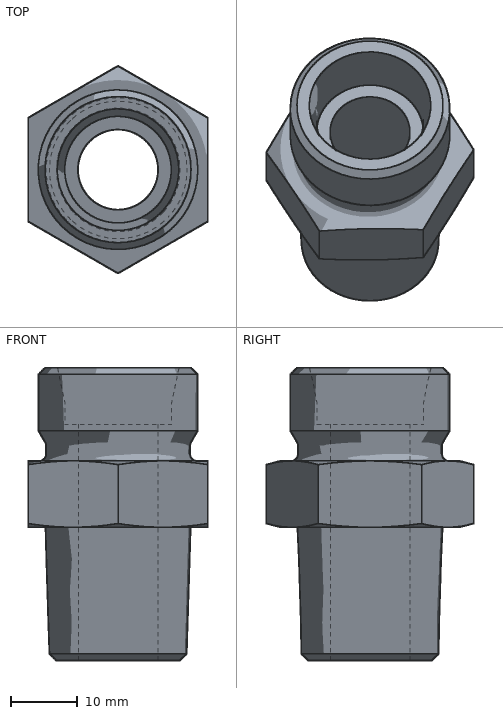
import cadquery as cq
import math

total_height = 44.0
hex_bottom = 20.0
hex_top = 30.0
gauge_height = 8.15

across_flats = 27.0
hex_chamfer_diameter = 26.95
hex_chamfer_angle = 15

gauge_diameter = 21.1
taper_ratio = 1 / 16

edge_chamfer = 1.0

collar_diameter = 24.0
collar_bottom = 34.55
neck_diameter = 21.7
neck_fillet = 1.0
relief_angle = 30

through_diameter = 12.0
counterbore_diameter = 16.0
counterbore_depth = 8.5
mouth_diameter = 18.25
mouth_half_angle = 12


def tangent(degrees):
    return math.tan(math.radians(degrees))


def stud_radius(height):
    """Radius of the tapered stud at a given height."""
    return (gauge_diameter + taper_ratio * (height - gauge_height)) / 2


def revolve_profile(profile):
    """Turn a closed radius-height profile around the Z axis."""
    return profile.close().revolve(360, (0, 0, 0), (0, 1, 0))


def make_stud():
    """Tapered stud with a chamfered lower end."""
    return revolve_profile(
        cq.Workplane("XZ")
        .lineTo(stud_radius(0) - edge_chamfer, 0)
        .lineTo(stud_radius(edge_chamfer), edge_chamfer)
        .lineTo(stud_radius(hex_bottom), hex_bottom)
        .lineTo(0, hex_bottom)
    )


def make_hexagon():
    """Hexagon with corners on Y and conical chamfers on both ends."""
    hex_height = hex_top - hex_bottom
    corner_radius = across_flats / math.sqrt(3)
    chamfer_radius = hex_chamfer_diameter / 2
    chamfer_drop = (corner_radius - chamfer_radius) * tangent(hex_chamfer_angle)
    prism = (
        cq.Workplane("XY", origin=(0, 0, hex_bottom))
        .polygon(6, 2 * corner_radius)
        .extrude(hex_height)
        .rotate((0, 0, 0), (0, 0, 1), 90)
    )
    envelope = revolve_profile(
        cq.Workplane("XZ")
        .moveTo(0, hex_bottom)
        .lineTo(chamfer_radius, hex_bottom)
        .lineTo(corner_radius, hex_bottom + chamfer_drop)
        .lineTo(corner_radius, hex_top - chamfer_drop)
        .lineTo(chamfer_radius, hex_top)
        .lineTo(0, hex_top)
    )
    return prism.intersect(envelope)


def make_collar():
    """Chamfered collar on a neck, rounded into the hexagon and the relief cone."""
    collar_radius = collar_diameter / 2
    neck_radius = neck_diameter / 2
    fillet_center_radius = neck_radius + neck_fillet
    relief_bottom = collar_bottom - (collar_radius - neck_radius) / tangent(relief_angle)

    upper_center = relief_bottom - neck_fillet * tangent(relief_angle / 2)

    def on_arc(center_height, degrees):
        angle = math.radians(degrees)
        return (
            fillet_center_radius - neck_fillet * math.cos(angle),
            center_height + neck_fillet * math.sin(angle),
        )

    lower_center = hex_top + neck_fillet
    return revolve_profile(
        cq.Workplane("XZ")
        .moveTo(0, hex_top)
        .lineTo(fillet_center_radius, hex_top)
        .threePointArc(on_arc(lower_center, -45), on_arc(lower_center, 0))
        .lineTo(*on_arc(upper_center, 0))
        .threePointArc(on_arc(upper_center, relief_angle / 2), on_arc(upper_center, relief_angle))
        .lineTo(collar_radius, collar_bottom)
        .lineTo(collar_radius, total_height - edge_chamfer)
        .lineTo(collar_radius - edge_chamfer, total_height)
        .lineTo(0, total_height)
    )


def make_bore():
    """Through hole, counterbore and tapered mouth."""
    counterbore_radius = counterbore_diameter / 2
    mouth_radius = mouth_diameter / 2
    floor_height = total_height - counterbore_depth
    mouth_depth = (mouth_radius - counterbore_radius) / tangent(mouth_half_angle)
    return revolve_profile(
        cq.Workplane("XZ")
        .lineTo(through_diameter / 2, 0)
        .lineTo(through_diameter / 2, floor_height)
        .lineTo(counterbore_radius, floor_height)
        .lineTo(counterbore_radius, total_height - mouth_depth)
        .lineTo(mouth_radius, total_height)
        .lineTo(0, total_height)
    )


result = make_stud().union(make_hexagon()).union(make_collar()).cut(make_bore())